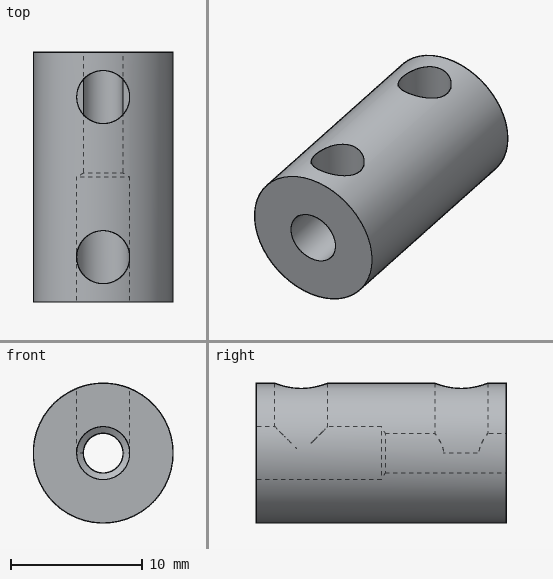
import cadquery as cq
import math

length = 19.05
body_diameter = 10.67

wide_bore_diameter = 4.04
narrow_bore_diameter = 3.01
cone_angle = 118.0
cone_start = 0.0

screw_hole_diameter = 4.04
screw_hole_offset = 6.1


def make_body():
    return cq.Workplane("XZ").circle(body_diameter / 2).extrude(length / 2, both=True)


def make_bore():
    """Revolve the half profile of the stepped bore about the Y axis."""
    wide_radius = wide_bore_diameter / 2
    narrow_radius = narrow_bore_diameter / 2
    half_length = length / 2
    cone_length = (wide_radius - narrow_radius) / math.tan(math.radians(cone_angle / 2))
    profile = (
        cq.Workplane("XY")
        .moveTo(0, -half_length)
        .lineTo(wide_radius, -half_length)
        .lineTo(wide_radius, cone_start)
        .lineTo(narrow_radius, cone_start + cone_length)
        .lineTo(narrow_radius, half_length)
        .lineTo(0, half_length)
        .close()
    )
    return profile.revolve(360, (0, 0, 0), (0, 1, 0))


def make_screw_holes():
    return (
        cq.Workplane("XY")
        .pushPoints([(0, -screw_hole_offset), (0, screw_hole_offset)])
        .circle(screw_hole_diameter / 2)
        .extrude(body_diameter / 2)
    )


result = make_body().cut(make_bore()).cut(make_screw_holes())